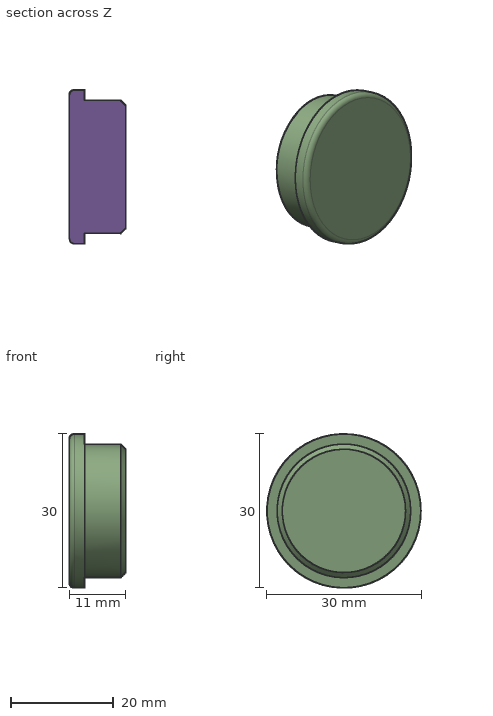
import cadquery as cq

flange_diameter = 30.0
flange_thickness = 3.0
flange_rounding = 1.0

plug_diameter = 26.0
plug_length = 8.0
plug_chamfer = 1.0


def make_flange():
    """Disc from X = 0 towards +X, with its outer rim rounded."""
    disc = cq.Workplane("YZ").circle(flange_diameter / 2).extrude(flange_thickness)
    return disc.faces("<X").edges().fillet(flange_rounding)


def make_plug():
    """Cylinder behind the flange, with a chamfered lead-in at its free end."""
    cylinder = (
        cq.Workplane("YZ")
        .workplane(offset=flange_thickness)
        .circle(plug_diameter / 2)
        .extrude(plug_length)
    )
    return cylinder.faces(">X").edges().chamfer(plug_chamfer)


result = make_flange().union(make_plug())